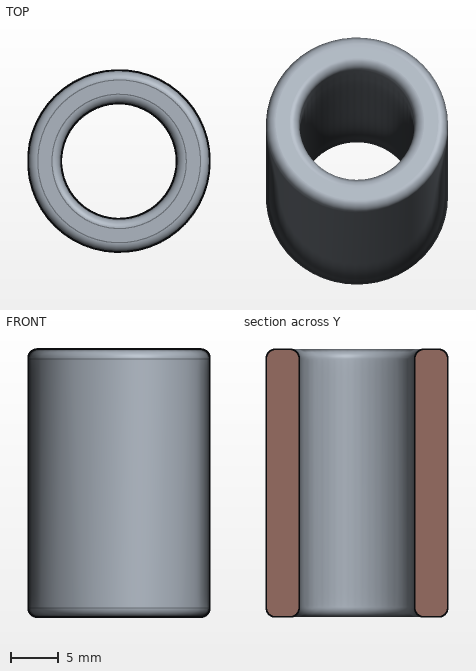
import cadquery as cq

length = 28.0
outer_diameter = 19.0
bore_diameter = 12.0
edge_radius = 1.0

sleeve = (
    cq.Workplane("XY")
    .circle(outer_diameter / 2)
    .circle(bore_diameter / 2)
    .extrude(length)
)

result = sleeve.faces("<Z or >Z").edges().fillet(edge_radius)